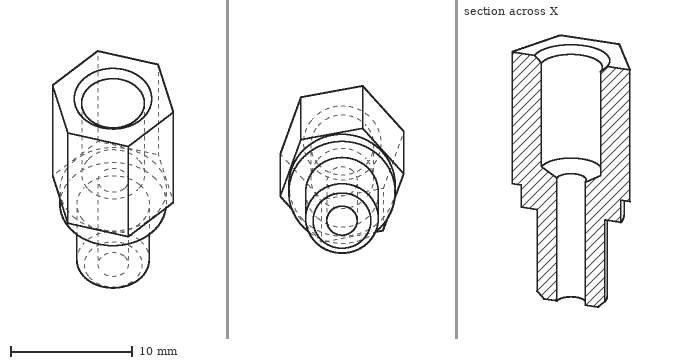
import cadquery as cq
import math

total_height = 22.0
hex_height = 12.0
collar_height = 2.0
stud_height = total_height - hex_height - collar_height

across_flats = 9.0
across_corners = across_flats / math.cos(math.radians(30))
collar_diameter = 8.8
stud_diameter = 6.0
stud_chamfer = 0.62

bore_diameter = 5.2
bore_depth = 10.0
mouth_diameter = 6.4
through_diameter = 2.5
drill_point_angle = 118.0


def make_stud():
    """Round stud with a chamfered lower end."""
    stud = cq.Workplane("XY").circle(stud_diameter / 2).extrude(stud_height)
    return stud.faces("<Z").chamfer(stud_chamfer)


def make_collar():
    """Round collar between the stud and the hexagon."""
    collar = cq.Workplane("XY").workplane(offset=stud_height)
    return collar.circle(collar_diameter / 2).extrude(collar_height)


def make_hexagon():
    """Hexagonal body with corners on the Y axis and flats facing +X and -X."""
    body = cq.Workplane("XY").workplane(offset=stud_height + collar_height)
    return body.transformed(rotate=(0, 0, 90)).polygon(6, across_corners).extrude(hex_height)


def make_bore():
    """Countersunk bore with a conical floor leading into the through hole."""
    mouth_radius = mouth_diameter / 2
    bore_radius = bore_diameter / 2
    through_radius = through_diameter / 2
    countersink_depth = mouth_radius - bore_radius
    half_angle = math.radians(drill_point_angle / 2)
    cone_depth = (bore_radius - through_radius) / math.tan(half_angle)
    floor_height = total_height - bore_depth
    profile = [
        (0, 0),
        (through_radius, 0),
        (through_radius, floor_height - cone_depth),
        (bore_radius, floor_height),
        (bore_radius, total_height - countersink_depth),
        (mouth_radius, total_height),
        (0, total_height),
    ]
    return cq.Workplane("XZ").polyline(profile).close().revolve(360, (0, 0), (0, 1))


result = make_stud().union(make_collar()).union(make_hexagon()).cut(make_bore())